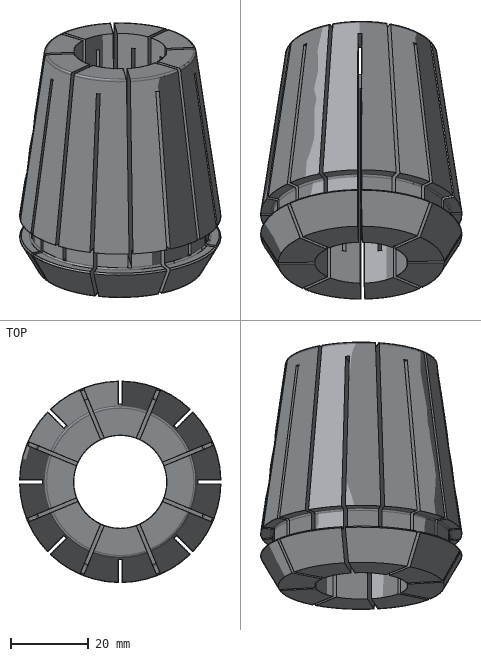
import cadquery as cq
import math

HEIGHT = 60.0
OUTER_RADIUS = 26.01
BORE_RADIUS = 12.0

TAPER_ANGLE = 8.0
CONE_BASE_Z = 14.0
TOP_EDGE_ROUND = 0.6

BOTTOM_RADIUS = 21.4
FLANGE_TOP_Z = 8.5
FLANGE_CHAMFER = 0.4
GROOVE_RADIUS = 23.0
GROOVE_FILLET = 0.5

SLOTS_PER_SET = 8
SLOT_WIDTH = 1.0
LOWER_SLOT_END_Z = 56.0
UPPER_SLOT_END_Z = 8.9

SLOT_PITCH = 360.0 / SLOTS_PER_SET
CUT_MARGIN = 3.0


def revolved_body():
    """Bored body with the clamping cone, groove and flange as one revolved profile."""
    cone_height = HEIGHT - CONE_BASE_Z
    top_radius = OUTER_RADIUS - cone_height * math.tan(math.radians(TAPER_ANGLE))
    flange_face_radius = OUTER_RADIUS - FLANGE_CHAMFER
    fillet_outer_radius = GROOVE_RADIUS + GROOVE_FILLET
    body = (
        cq.Workplane("XZ")
        .moveTo(BORE_RADIUS, 0)
        .lineTo(BOTTOM_RADIUS, 0)
        .lineTo(OUTER_RADIUS, FLANGE_TOP_Z - FLANGE_CHAMFER)
        .lineTo(flange_face_radius, FLANGE_TOP_Z)
        .lineTo(fillet_outer_radius, FLANGE_TOP_Z)
        .radiusArc((GROOVE_RADIUS, FLANGE_TOP_Z + GROOVE_FILLET), GROOVE_FILLET)
        .lineTo(GROOVE_RADIUS, CONE_BASE_Z - GROOVE_FILLET)
        .radiusArc((fillet_outer_radius, CONE_BASE_Z), GROOVE_FILLET)
        .lineTo(OUTER_RADIUS, CONE_BASE_Z)
        .lineTo(top_radius, HEIGHT)
        .lineTo(BORE_RADIUS, HEIGHT)
        .close()
        .revolve(360, (0, 0, 0), (0, 1, 0))
    )
    top_outer_edge = cq.selectors.RadiusNthSelector(-1)
    return body.faces(">Z").edges(top_outer_edge).fillet(TOP_EDGE_ROUND)


def slot_set(start_z, end_z, first_angle):
    """Radial blades spanning the given heights, evenly spaced around the axis."""
    length = OUTER_RADIUS + CUT_MARGIN
    blade = cq.Workplane("XY").box(length, SLOT_WIDTH, end_z - start_z, centered=(False, True, False))
    blade = blade.translate((0, 0, start_z))
    blades = cq.Workplane("XY")
    for index in range(SLOTS_PER_SET):
        angle = first_angle + index * SLOT_PITCH
        blades = blades.add(blade.rotate((0, 0, 0), (0, 0, 1), angle))
    return blades.combine()


lower_slots = slot_set(-CUT_MARGIN, LOWER_SLOT_END_Z, 0)
upper_slots = slot_set(UPPER_SLOT_END_Z, HEIGHT + CUT_MARGIN, SLOT_PITCH / 2)

result = revolved_body().cut(lower_slots).cut(upper_slots)